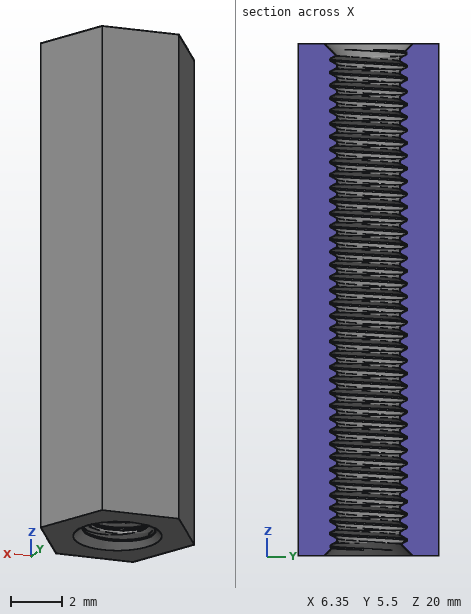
import cadquery as cq
import math

ACROSS_FLATS = 5.5
ACROSS_CORNERS = ACROSS_FLATS / math.cos(math.radians(30))
LENGTH = 20.0

MAJOR_RADIUS = 1.5
PITCH = 0.5
TURNS = round(LENGTH / PITCH)
FLANK_ANGLE = math.radians(30)
ROOT_SHARE = 1 / 8
CREST_SHARE = 1 / 4
FLANK_SHARE = (1 - ROOT_SHARE - CREST_SHARE) / 2
MINOR_RADIUS = MAJOR_RADIUS - FLANK_SHARE * PITCH / math.tan(FLANK_ANGLE)
ROOT_DIRECTION = 0.0
FLANK_STEPS = 4

COUNTERSINK_RADIUS = 1.73
CONE_OVERLAP = 0.05
CONE_TIP_RADIUS = MINOR_RADIUS - CONE_OVERLAP


def thread_point(radius, turn):
    """Point on the thread's cross-section, a fraction of a turn away from the root's middle."""
    angle = math.radians(ROOT_DIRECTION) + 2 * math.pi * turn
    return (radius * math.cos(angle), radius * math.sin(angle))


def flank_points(side):
    """Spiral from the root to the crest on one side (+1 or -1) of the root."""
    points = []
    for step in range(FLANK_STEPS + 1):
        fraction = step / FLANK_STEPS
        radius = MAJOR_RADIUS + fraction * (MINOR_RADIUS - MAJOR_RADIUS)
        turn = ROOT_SHARE / 2 + fraction * FLANK_SHARE
        points.append(thread_point(radius, side * turn))
    return points


def one_turn():
    """One pitch of the threaded void: its cross-section twisted through a full turn along Z."""
    rising = flank_points(1)
    falling = flank_points(-1)[::-1]
    section = (
        cq.Workplane("XY")
        .moveTo(*falling[0])
        .spline(falling[1:], includeCurrent=True)
        .threePointArc(thread_point(MAJOR_RADIUS, 0), rising[0])
        .spline(rising[1:], includeCurrent=True)
        .threePointArc(thread_point(MINOR_RADIUS, 0.5), falling[0])
        .close()
    )
    return section.twistExtrude(PITCH, 360)


def threaded_void():
    """The helical faces of one turn repeated along Z and closed by a flat cap at each end."""
    turn = one_turn()
    bottom_cap = turn.faces("<Z").val()
    top_cap = turn.faces(">Z").val().translate(cq.Vector(0, 0, LENGTH - PITCH))
    helical_faces = turn.faces("not(<Z or >Z)").vals()
    faces = [bottom_cap, top_cap]
    for index in range(TURNS):
        offset = cq.Vector(0, 0, index * PITCH)
        faces += [face.translate(offset) for face in helical_faces]
    return cq.Workplane(obj=cq.Solid.makeSolid(cq.Shell.makeShell(faces)))


def countersink(mouth_height, direction):
    """Cone opening at the mouth and narrowing into the body along direction (+1 or -1 in Z)."""
    depth = COUNTERSINK_RADIUS - CONE_TIP_RADIUS
    mouth = cq.Vector(0, 0, mouth_height)
    axis = cq.Vector(0, 0, direction)
    return cq.Workplane(obj=cq.Solid.makeCone(COUNTERSINK_RADIUS, CONE_TIP_RADIUS, depth, mouth, axis))


body = cq.Workplane("XY").polygon(6, ACROSS_CORNERS).extrude(LENGTH)
threaded = body.cut(threaded_void())
result = threaded.cut(countersink(0, 1)).cut(countersink(LENGTH, -1))